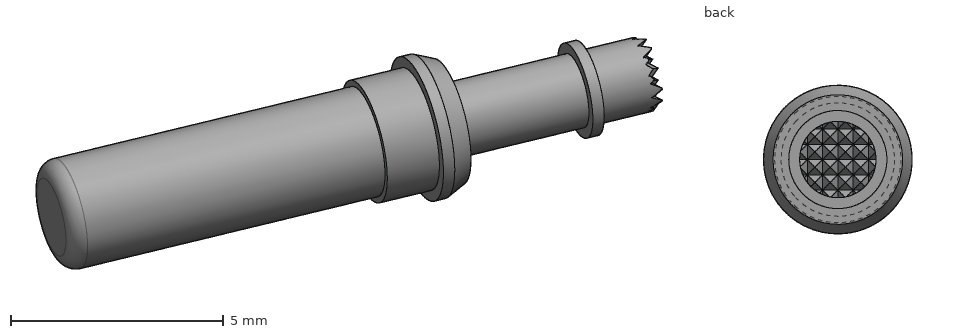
import cadquery as cq


barrel_diameter = 2.67
barrel_tail_y = -9.21
tail_fillet = 0.4

sleeve_diameter = 2.97
sleeve_length = 1.31
flange_diameter = 3.5
flange_rim_height = 0.29
flange_cone_height = 0.5
flange_top_diameter = 3.05
flange_top_y = flange_rim_height + flange_cone_height

overall_length = 15.1
plunger_tip_y = barrel_tail_y + overall_length
plunger_diameter = 1.8
collar_diameter = 2.31
collar_height = 0.29
collar_to_tip = 1.6

groove_count = 5
groove_pitch = plunger_diameter / groove_count
groove_depth = 0.3


def cylinder(diameter, start_y, end_y):
    """Solid cylinder on the Y axis between two Y positions."""
    length = end_y - start_y
    return cq.Workplane("XZ", origin=(0, start_y, 0)).circle(diameter / 2).extrude(-length)


def make_barrel():
    barrel = cylinder(barrel_diameter, barrel_tail_y, 0)
    barrel = barrel.faces("<Y").edges().fillet(tail_fillet)
    return barrel.union(cylinder(sleeve_diameter, -sleeve_length, 0))


def make_flange():
    """Flange with a straight rim below and a conical shoulder above."""
    half_profile = [
        (0, 0),
        (flange_diameter / 2, 0),
        (flange_diameter / 2, flange_rim_height),
        (flange_top_diameter / 2, flange_top_y),
        (0, flange_top_y),
    ]
    return cq.Workplane("XY").polyline(half_profile).close().revolve(360, (0, 0), (0, 1))


def make_grooves():
    """Parallel V grooves running along Z, open at the plunger tip."""
    grooves = cq.Workplane("XY")
    for index in range(groove_count):
        center_x = (index - (groove_count - 1) / 2) * groove_pitch
        v_profile = [
            (center_x - groove_pitch / 2, plunger_tip_y),
            (center_x, plunger_tip_y - groove_depth),
            (center_x + groove_pitch / 2, plunger_tip_y),
        ]
        v_cutter = cq.Workplane("XY").polyline(v_profile).close()
        grooves = grooves.add(v_cutter.extrude(plunger_diameter, both=True))
    return grooves.combine()


def make_plunger():
    plunger = cylinder(plunger_diameter, 0, plunger_tip_y)
    grooves_along_z = make_grooves()
    grooves_along_x = grooves_along_z.rotate((0, 0, 0), (0, 1, 0), 90)
    plunger = plunger.cut(grooves_along_z).cut(grooves_along_x)
    collar_top_y = plunger_tip_y - collar_to_tip
    return plunger.union(cylinder(collar_diameter, collar_top_y - collar_height, collar_top_y))


result = make_barrel().union(make_flange()).union(make_plunger())